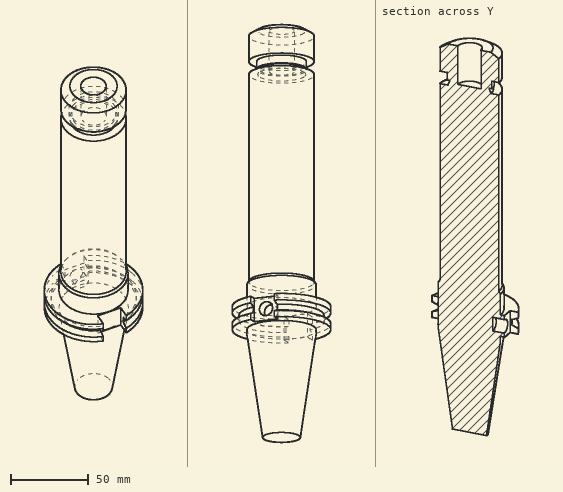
import cadquery as cq

overall_height = 271.5
taper_top = 68.7
flange_bottom = 72.0
groove_lower_edge = 76.0
groove_floor_bottom = 77.5
groove_floor_top = 81.5
groove_upper_edge = 83.0
flange_top = 87.5
collar_chamfer_bottom = 102.0
collar_top = 104.0
body_top = 242.5
neck_bottom = 245.7
nut_bottom = 250.8
nut_chamfer_bottom = 268.0

taper_small_radius = 12.2
taper_large_radius = 22.3
flange_radius = 31.8
groove_radius = 27.5
collar_radius = 22.3
body_radius = 21.05
neck_radius = 16.0
relief_radius = 15.5
relief_small_radius = 14.0
nut_radius = body_radius
nut_face_radius = 15.2

slot_width = 16.5
left_slot_floor = 25.0
right_slot_floor = 22.5

bore_diameter = 16.3
bore_depth = 27.1
slot_hole_diameter = 9.2
slot_hole_depth = 8.1


def make_turned_body():
    """Revolve the taper, grooved flange, shank and clamping nut about Z."""
    profile = [
        (0, 0),
        (taper_small_radius, 0),
        (taper_large_radius, taper_top),
        (taper_large_radius, flange_bottom),
        (flange_radius, flange_bottom),
        (flange_radius, groove_lower_edge),
        (groove_radius, groove_floor_bottom),
        (groove_radius, groove_floor_top),
        (flange_radius, groove_upper_edge),
        (flange_radius, flange_top),
        (collar_radius, flange_top),
        (collar_radius, collar_chamfer_bottom),
        (body_radius, collar_top),
        (body_radius, body_top),
        (relief_radius, body_top),
        (relief_small_radius, neck_bottom),
        (neck_radius, neck_bottom),
        (neck_radius, nut_bottom),
        (nut_radius, nut_bottom),
        (nut_radius, nut_chamfer_bottom),
        (nut_face_radius, overall_height),
        (0, overall_height),
    ]
    return cq.Workplane("XZ").polyline(profile).close().revolve(360, (0, 0), (0, 1))


def make_drive_slot(side, floor_distance):
    """Cutter for a full-height flange slot on the +X (side=1) or -X (side=-1) side."""
    flange_height = flange_top - flange_bottom
    return (
        cq.Workplane("XY", origin=(side * (floor_distance + flange_radius / 2), 0, flange_bottom))
        .rect(flange_radius, slot_width)
        .extrude(flange_height)
    )


def make_slot_hole():
    """Cutter for the radial blind hole in the floor of the -X slot."""
    flange_middle = (flange_bottom + flange_top) / 2
    return (
        cq.Workplane("YZ", origin=(-left_slot_floor, 0, flange_middle))
        .circle(slot_hole_diameter / 2)
        .extrude(slot_hole_depth)
    )


def make_bore():
    """Cutter for the tool bore in the nut face."""
    return (
        cq.Workplane("XY", origin=(0, 0, overall_height - bore_depth))
        .circle(bore_diameter / 2)
        .extrude(bore_depth)
    )


result = (
    make_turned_body()
    .cut(make_drive_slot(-1, left_slot_floor))
    .cut(make_drive_slot(1, right_slot_floor))
    .cut(make_slot_hole())
    .cut(make_bore())
)